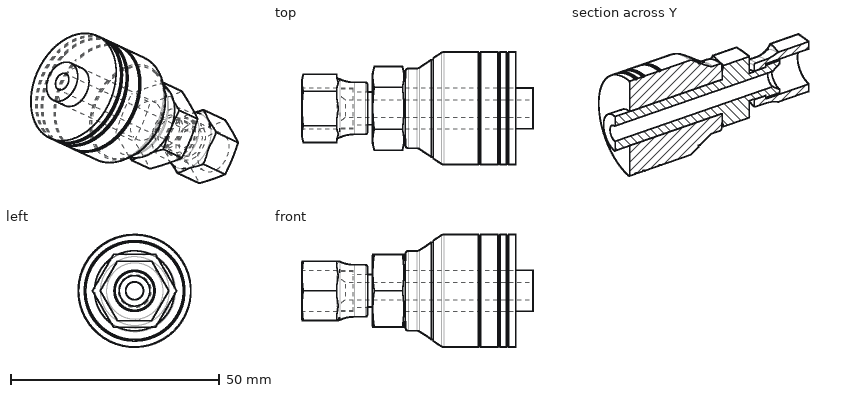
import cadquery as cq
import math

LENGTH = 55.55
BORE_RADIUS = 2.1
NECK_RADIUS = 3.95
TAIL_RADIUS = 4.95

NUT_FLATS = 14.3
NUT_FACE_RADIUS = 6.8
NUT_CHAMFER = 0.35
NUT_HEX_END = 8.4
NUT_ROOT_RADIUS = 0.65
NUT_WAIST_START = NUT_HEX_END + NUT_ROOT_RADIUS
NUT_WAIST_RADIUS = 7.05
NUT_COLLAR_START = 12.55
NUT_COLLAR_RADIUS = 6.3
NUT_END = 15.8
NUT_END_FILLET = 0.55
NUT_SOCKET_RADIUS = 4.95
NUT_SOCKET_DEPTH = 12.2

HEAD_START = 8.35
HEAD_RADIUS = 4.65
SEAT_RADIUS = 3.65
SEAT_HALF_ANGLE = 37.0
STEM_HEX_START = 16.95
STEM_HEX_END = 24.9
STEM_FLATS = 17.5
STEM_FACE_RADIUS = 8.3
STEM_CHAMFER = 0.45
SHOULDER_RADIUS = 7.1
SHOULDER_CHAMFER = 0.7

FERRULE_START = STEM_HEX_END
FERRULE_END = 51.4
FERRULE_RADIUS = 13.55
FERRULE_NOSE_RADIUS = 9.6
NOSE_FILLET = 0.65
TAPER_BLEND = 1.1
TAPER_ANGLE = 33.5
TAPER_START = 27.6
TAPER_END = 34.1
STEP_START = 31.1
STEP_END = 31.55
GROOVE_CENTRES = (42.7, 47.35, 49.4)
GROOVE_WIDTH = 0.65
GROOVE_DEPTH = 0.15


def corner_radius(across_flats):
    return across_flats / math.sqrt(3)


def hex_prism(across_flats, start, end):
    """Hexagonal bar along X with flats facing up and down."""
    plane = cq.Workplane("YZ", origin=(start, 0, 0))
    return plane.polygon(6, 2 * corner_radius(across_flats)).extrude(end - start)


def rod(radius, start, end):
    return cq.Workplane("YZ", origin=(start, 0, 0)).circle(radius).extrude(end - start)


def turned(profile):
    """Spin a closed (X, radius) profile about the X axis."""
    return profile.close().revolve(360, (0, 0, 0), (1, 0, 0))


def make_nut():
    corner = corner_radius(NUT_FLATS)
    waist_length = NUT_COLLAR_START - NUT_WAIST_START
    waist_drop = NUT_WAIST_RADIUS - NUT_COLLAR_RADIUS
    waist_arc = (waist_length**2 + waist_drop**2) / (2 * waist_drop)
    profile = (
        cq.Workplane("XY")
        .lineTo(0, NUT_FACE_RADIUS)
        .lineTo(NUT_CHAMFER, corner)
        .lineTo(NUT_HEX_END, corner)
        .lineTo(NUT_HEX_END, NUT_WAIST_RADIUS + NUT_ROOT_RADIUS)
        .radiusArc((NUT_WAIST_START, NUT_WAIST_RADIUS), -NUT_ROOT_RADIUS)
        .radiusArc((NUT_COLLAR_START, NUT_COLLAR_RADIUS), -waist_arc)
        .lineTo(NUT_END - NUT_END_FILLET, NUT_COLLAR_RADIUS)
        .radiusArc((NUT_END, NUT_COLLAR_RADIUS - NUT_END_FILLET), NUT_END_FILLET)
        .lineTo(NUT_END, 0)
    )
    outside = turned(profile).intersect(hex_prism(NUT_FLATS, 0, NUT_END))
    socket = rod(NUT_SOCKET_RADIUS, 0, NUT_SOCKET_DEPTH)
    neck_hole = rod(NECK_RADIUS, 0, NUT_END)
    return outside.cut(socket).cut(neck_hole)


def make_stem_hex():
    corner = corner_radius(STEM_FLATS)
    profile = (
        cq.Workplane("XY")
        .moveTo(STEM_HEX_START, 0)
        .lineTo(STEM_HEX_START, STEM_FACE_RADIUS)
        .lineTo(STEM_HEX_START + STEM_CHAMFER, corner)
        .lineTo(STEM_HEX_END - SHOULDER_CHAMFER, corner)
        .lineTo(STEM_HEX_END, SHOULDER_RADIUS)
        .lineTo(STEM_HEX_END, 0)
    )
    return turned(profile).intersect(hex_prism(STEM_FLATS, STEM_HEX_START, STEM_HEX_END))


def make_seat():
    """Conical recess that narrows from the head's face to the bore."""
    depth = (SEAT_RADIUS - BORE_RADIUS) / math.tan(math.radians(SEAT_HALF_ANGLE))
    profile = (
        cq.Workplane("XY")
        .moveTo(HEAD_START, 0)
        .lineTo(HEAD_START, SEAT_RADIUS)
        .lineTo(HEAD_START + depth, BORE_RADIUS)
        .lineTo(HEAD_START + depth, 0)
    )
    return turned(profile)


def make_stem():
    head = rod(HEAD_RADIUS, HEAD_START, NUT_SOCKET_DEPTH)
    neck = rod(NECK_RADIUS, NUT_SOCKET_DEPTH, STEM_HEX_START)
    tail = rod(TAIL_RADIUS, STEM_HEX_END, LENGTH)
    body = head.union(neck).union(make_stem_hex()).union(tail)
    return body.cut(make_seat()).cut(rod(BORE_RADIUS, HEAD_START, LENGTH))


def make_groove(centre):
    """Ring with sloping walls, as wide at its floor as half its mouth."""
    mouth = GROOVE_WIDTH / 2
    floor = mouth / 2
    floor_radius = FERRULE_RADIUS - GROOVE_DEPTH
    profile = (
        cq.Workplane("XY")
        .moveTo(centre - mouth, FERRULE_RADIUS)
        .lineTo(centre - floor, floor_radius)
        .lineTo(centre + floor, floor_radius)
        .lineTo(centre + mouth, FERRULE_RADIUS)
    )
    return turned(profile)


def make_ferrule():
    slope = math.tan(math.radians(TAPER_ANGLE))
    blend_length = TAPER_BLEND * math.sin(math.radians(TAPER_ANGLE))
    blend_rise = TAPER_BLEND * (1 - math.cos(math.radians(TAPER_ANGLE)))
    front_x = TAPER_START + blend_length
    front_radius = FERRULE_NOSE_RADIUS + blend_rise
    back_x = TAPER_END - blend_length
    back_radius = FERRULE_RADIUS - blend_rise
    step_low = front_radius + (STEP_START - front_x) * slope
    step_high = back_radius - (back_x - STEP_END) * slope
    profile = (
        cq.Workplane("XY")
        .moveTo(FERRULE_START, TAIL_RADIUS)
        .lineTo(FERRULE_START, FERRULE_NOSE_RADIUS - NOSE_FILLET)
        .radiusArc((FERRULE_START + NOSE_FILLET, FERRULE_NOSE_RADIUS), NOSE_FILLET)
        .lineTo(TAPER_START, FERRULE_NOSE_RADIUS)
        .radiusArc((front_x, front_radius), -TAPER_BLEND)
        .lineTo(STEP_START, step_low)
        .lineTo(STEP_END, step_low)
        .lineTo(STEP_END, step_high)
        .lineTo(back_x, back_radius)
        .radiusArc((TAPER_END, FERRULE_RADIUS), TAPER_BLEND)
        .lineTo(FERRULE_END, FERRULE_RADIUS)
        .lineTo(FERRULE_END, TAIL_RADIUS)
    )
    ferrule = turned(profile)
    for centre in GROOVE_CENTRES:
        ferrule = ferrule.cut(make_groove(centre))
    return ferrule


nut = make_nut()
stem = make_stem()
ferrule = make_ferrule()

result = cq.Compound.makeCompound([body.solids().val() for body in (nut, stem, ferrule)])